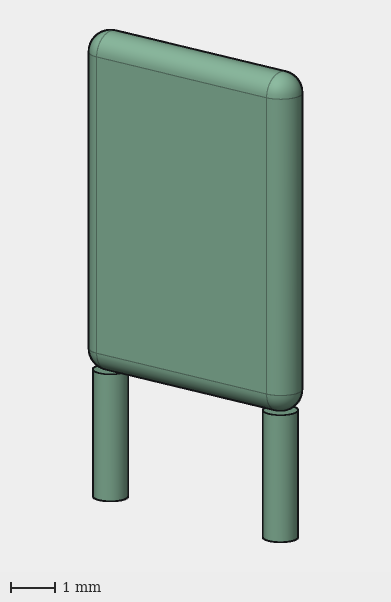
import cadquery as cq

total_height = 11.0
body_width = 6.0
body_thickness = 1.0
pin_length = 3.0
pin_diameter = 0.8

edge_radius = body_thickness / 2
body_height = total_height - pin_length
flat_width = body_width - body_thickness
flat_height = body_height - body_thickness
flat_bottom = pin_length + edge_radius
flat_top = flat_bottom + flat_height
side_x = flat_width / 2


def edge_rod(start, direction, length):
    """Cylinder that forms one fully rounded edge of the body."""
    return cq.Workplane(cq.Solid.makeCylinder(edge_radius, length, cq.Vector(*start), cq.Vector(*direction)))


def make_body():
    """Thin plate with fully rounded edges and spherical corners."""
    body = cq.Workplane().box(flat_width, body_thickness, flat_height, centered=(True, True, False))
    body = body.translate((0, 0, flat_bottom))
    for x in (-side_x, side_x):
        body = body.union(edge_rod((x, 0, flat_bottom), (0, 0, 1), flat_height))
    for z in (flat_bottom, flat_top):
        body = body.union(edge_rod((-side_x, 0, z), (1, 0, 0), flat_width))
        for x in (-side_x, side_x):
            body = body.union(cq.Workplane().sphere(edge_radius).translate((x, 0, z)))
    return body.solids().val()


def make_pin(x):
    """Round lead whose flat top touches the underside of the body."""
    return cq.Workplane().center(x, 0).circle(pin_diameter / 2).extrude(pin_length).val()


body = make_body()

pins = [make_pin(x) for x in (-side_x, side_x)]

result = cq.Compound.makeCompound([body, *pins])